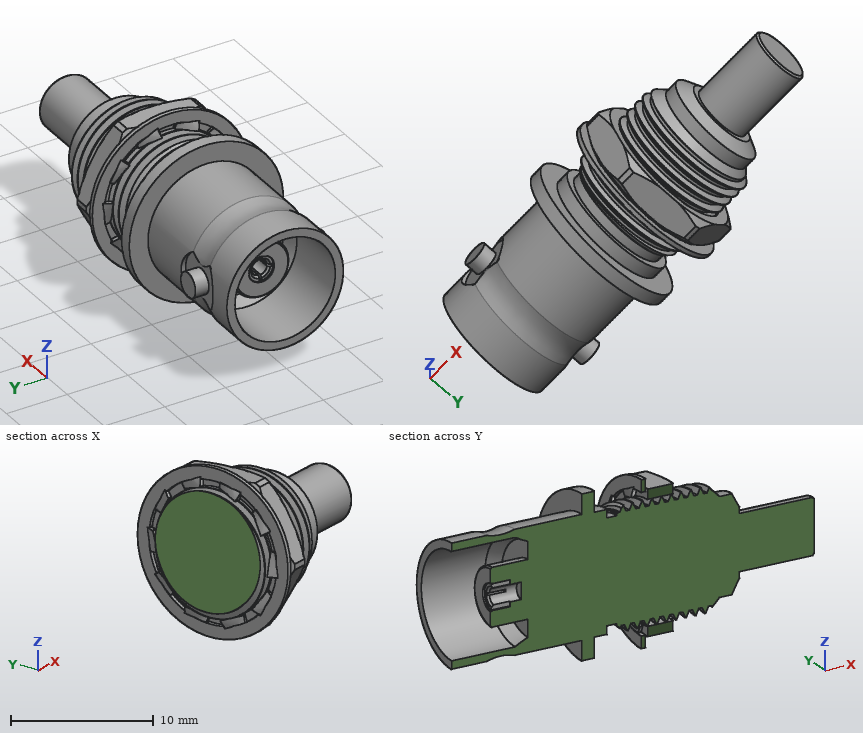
import cadquery as cq
import math


SPOTFACE_X = 4.05
GROOVE_START = 2.88
GROOVE_END = 5.17
FLANGE_START = 10.67
FLANGE_END = 11.7
SHOULDER_END = 12.75
THREAD_START = 13.52
LAND_START = 21.95
LAND_END = 22.97
CONE_END = 23.6
LENGTH = 29.72

SHELL_DIA = 9.6
FLANGE_DIA = 12.7
SHOULDER_DIA = 9.5
NECK_DIA = 8.23
LAND_DIA = 7.7
CONE_END_DIA = 5.4
STEM_DIA = 4.45
STEM_CHAMFER = 0.15

GROOVE_DEPTH = 0.18
SPOTFACE_DIA = 4.28
SPOTFACE_HEIGHT = 4.43
LUG_DIA = 2.0
LUG_SPAN = 11.05

THREAD_CREST_DIA = SHELL_DIA
THREAD_ROOT_DIA = 8.65
THREAD_PITCH = 0.795
THREAD_CREST_WIDTH = 0.1
THREAD_ROOT_WIDTH = 0.25
THREAD_LEAD_DIA = 8.5
THREAD_LEAD_LENGTH = 0.6
THREAD_GROOVE_START = 13.25
THREAD_TURNS = 11
GROOVE_OVERCUT = 0.05

BORE_DIA = 8.25
BORE_STRAIGHT_DEPTH = 5.2
BORE_FLOOR_DIA = 7.25
BORE_FLOOR_DEPTH = 6.25
INSULATOR_DEPTH = 3.18
INSULATOR_DIA = 4.58
INSULATOR_CHAMFER = 0.12
CONTACT_DIA = 2.08
CONTACT_RECESS = 0.15
CONTACT_MOUTH_DIA = 1.6
CONTACT_HOLE_DIA = 1.28
CONTACT_HOLE_DEPTH = 2.38
CONTACT_SLOT_WIDTH = 0.18
CONTACT_SLOT_SPAN = 2.0
CONTACT_SLOT_DEPTH = 1.5

WASHER_START = 15.55
WASHER_END = 15.9
WASHER_DIA = 12.85
WASHER_BORE_DIA = 10.88
TOOTH_COUNT = 10
TOOTH_ANGLE = 52.0
TOOTH_ROOT_RADIUS = 5.6
TOOTH_TIP_RADIUS = 4.85
TOOTH_WIDTH = 1.85
TOOTH_THICKNESS = 0.3
TOOTH_TWIST = -16.0
TOOTH_TIP_SHIFT = -0.12

NUT_START = 16.05
NUT_END = 18.15
NUT_ACROSS_FLATS = 11.2
NUT_CORNER_DIA = 12.7
NUT_CHAMFER_DIA = 11.35
NUT_CHAMFER_LENGTH = 0.45


def revolve_about_x(sketch):
    return sketch.close().revolve(360, (0, 0, 0), (1, 0, 0))


def rod(start, end, diameter):
    return cq.Workplane("YZ", origin=(start, 0, 0)).circle(diameter / 2).extrude(end - start)


def make_shell_blank():
    """Solid outline of the shell, with the threaded stretch at its crest diameter."""
    groove_middle = ((GROOVE_START + GROOVE_END) / 2, SHELL_DIA / 2 - GROOVE_DEPTH)
    crest_radius = THREAD_CREST_DIA / 2
    end_taper = (THREAD_CREST_DIA - LAND_DIA) / 2
    outline = (
        cq.Workplane("XY")
        .moveTo(0, 0)
        .lineTo(0, SHELL_DIA / 2)
        .lineTo(GROOVE_START, SHELL_DIA / 2)
        .threePointArc(groove_middle, (GROOVE_END, SHELL_DIA / 2))
        .lineTo(FLANGE_START, SHELL_DIA / 2)
        .lineTo(FLANGE_START, FLANGE_DIA / 2)
        .lineTo(FLANGE_END, FLANGE_DIA / 2)
        .lineTo(FLANGE_END, SHOULDER_DIA / 2)
        .lineTo(SHOULDER_END, SHOULDER_DIA / 2)
        .lineTo(SHOULDER_END, NECK_DIA / 2)
        .lineTo(THREAD_START, NECK_DIA / 2)
        .lineTo(THREAD_START, THREAD_LEAD_DIA / 2)
        .lineTo(THREAD_START + THREAD_LEAD_LENGTH, crest_radius)
        .lineTo(LAND_START - end_taper, crest_radius)
        .lineTo(LAND_START, LAND_DIA / 2)
        .lineTo(LAND_END, LAND_DIA / 2)
        .lineTo(CONE_END, CONE_END_DIA / 2)
        .lineTo(CONE_END, STEM_DIA / 2)
        .lineTo(LENGTH - STEM_CHAMFER, STEM_DIA / 2)
        .lineTo(LENGTH, STEM_DIA / 2 - STEM_CHAMFER)
        .lineTo(LENGTH, 0)
    )
    return revolve_about_x(outline)


def helix_edge(radius, offset):
    helix = cq.Wire.makeHelix(THREAD_PITCH, THREAD_TURNS * THREAD_PITCH, radius)
    return helix.translate(cq.Vector(0, 0, offset)).Edges()[0]


def make_thread_groove():
    """Right-handed helical V groove with a flat bottom, running out past both ends of the thread."""
    root_radius = THREAD_ROOT_DIA / 2
    outer_radius = THREAD_CREST_DIA / 2 + GROOVE_OVERCUT
    flank_slope = (THREAD_PITCH - THREAD_CREST_WIDTH - THREAD_ROOT_WIDTH) / (THREAD_CREST_DIA - THREAD_ROOT_DIA)
    root_half = THREAD_ROOT_WIDTH / 2
    outer_half = root_half + flank_slope * (outer_radius - root_radius)

    corners = [
        (root_radius, -root_half),
        (outer_radius, -outer_half),
        (outer_radius, outer_half),
        (root_radius, root_half),
    ]
    edges = [helix_edge(radius, offset) for radius, offset in corners]
    ends = [cq.Wire.makePolygon([edge.positionAt(end) for edge in edges], close=True) for end in (0, 1)]
    faces = [cq.Face.makeRuledSurface(edges[i - 1], edges[i]) for i in range(len(edges))]
    faces += [cq.Face.makeFromWires(wire) for wire in ends]
    groove = cq.Workplane(obj=cq.Solid.makeSolid(cq.Shell.makeShell(faces)))
    return groove.rotate((0, 0, 0), (0, 1, 0), 90).translate((THREAD_GROOVE_START, 0, 0))


def make_spotface_cut():
    """Round pockets that flatten both sides of the shell around the lugs."""
    pocket = cq.Workplane("XZ", origin=(SPOTFACE_X, -SPOTFACE_HEIGHT, 0))
    pocket = pocket.circle(SPOTFACE_DIA / 2).extrude(SHELL_DIA / 2)
    return pocket.union(pocket.mirror("XZ"))


def make_lugs():
    lugs = cq.Workplane("XZ", origin=(SPOTFACE_X, 0, 0)).circle(LUG_DIA / 2)
    return lugs.extrude(LUG_SPAN / 2, both=True)


def make_socket_cut():
    """Tapered bore around the insulator and the hollow of the centre contact."""
    insulator_radius = INSULATOR_DIA / 2
    contact_face = INSULATOR_DEPTH + CONTACT_RECESS
    countersink = (CONTACT_MOUTH_DIA - CONTACT_HOLE_DIA) / 2
    cavity = (
        cq.Workplane("XY")
        .moveTo(0, 0)
        .lineTo(0, BORE_DIA / 2)
        .lineTo(BORE_STRAIGHT_DEPTH, BORE_DIA / 2)
        .lineTo(BORE_FLOOR_DEPTH, BORE_FLOOR_DIA / 2)
        .lineTo(BORE_FLOOR_DEPTH, insulator_radius)
        .lineTo(INSULATOR_DEPTH + INSULATOR_CHAMFER, insulator_radius)
        .lineTo(INSULATOR_DEPTH, insulator_radius - INSULATOR_CHAMFER)
        .lineTo(INSULATOR_DEPTH, CONTACT_DIA / 2)
        .lineTo(contact_face, CONTACT_DIA / 2)
        .lineTo(contact_face, CONTACT_MOUTH_DIA / 2)
        .lineTo(contact_face + countersink, CONTACT_HOLE_DIA / 2)
        .lineTo(contact_face + CONTACT_HOLE_DEPTH, CONTACT_HOLE_DIA / 2)
        .lineTo(contact_face + CONTACT_HOLE_DEPTH, 0)
    )
    return revolve_about_x(cavity)


def make_contact_slots():
    """Crossed slots that split the contact into four fingers."""
    slots = (
        cq.Workplane("YZ", origin=(INSULATOR_DEPTH + CONTACT_RECESS, 0, 0))
        .rect(CONTACT_SLOT_SPAN, CONTACT_SLOT_WIDTH)
        .extrude(CONTACT_SLOT_DEPTH)
    )
    return slots.union(slots.rotate((0, 0, 0), (1, 0, 0), 90))


def make_shell():
    shell = make_shell_blank().cut(make_thread_groove()).cut(make_spotface_cut()).union(make_lugs())
    return shell.cut(make_socket_cut()).cut(make_contact_slots())


def make_tooth(angle):
    """One inward tooth, twisted about its own radial line from root to tip."""
    middle_x = (WASHER_START + WASHER_END) / 2
    tooth = (
        cq.Workplane("XY", origin=(middle_x, 0, TOOTH_ROOT_RADIUS))
        .rect(TOOTH_THICKNESS, TOOTH_WIDTH)
        .workplane(offset=TOOTH_TIP_RADIUS - TOOTH_ROOT_RADIUS)
        .center(TOOTH_TIP_SHIFT, 0)
        .transformed(rotate=(0, 0, TOOTH_TWIST))
        .rect(TOOTH_THICKNESS, TOOTH_WIDTH)
        .loft(ruled=True)
    )
    return tooth.rotate((0, 0, 0), (1, 0, 0), angle)


def make_washer():
    ring = rod(WASHER_START, WASHER_END, WASHER_DIA).cut(rod(WASHER_START, WASHER_END, WASHER_BORE_DIA))
    for index in range(TOOTH_COUNT):
        ring = ring.union(make_tooth(TOOTH_ANGLE + index * 360 / TOOTH_COUNT))
    return ring


def make_nut():
    """Hex nut with corners on +Y and -Y, rounded and chamfered on both faces."""
    across_corners = NUT_ACROSS_FLATS / math.cos(math.pi / 6)
    hexagon = (
        cq.Workplane("YZ", origin=(NUT_START, 0, 0))
        .polygon(6, across_corners)
        .extrude(NUT_END - NUT_START)
    )
    corner_limit = (
        cq.Workplane("XY")
        .moveTo(NUT_START, 0)
        .lineTo(NUT_START, NUT_CHAMFER_DIA / 2)
        .lineTo(NUT_START + NUT_CHAMFER_LENGTH, NUT_CORNER_DIA / 2)
        .lineTo(NUT_END - NUT_CHAMFER_LENGTH, NUT_CORNER_DIA / 2)
        .lineTo(NUT_END, NUT_CHAMFER_DIA / 2)
        .lineTo(NUT_END, 0)
    )
    nut = hexagon.intersect(revolve_about_x(corner_limit))
    return nut.cut(rod(NUT_START, NUT_END, THREAD_CREST_DIA))


shell = make_shell()
washer = make_washer()
nut = make_nut()

result = cq.Compound.makeCompound([shell.val(), washer.val(), nut.val()])